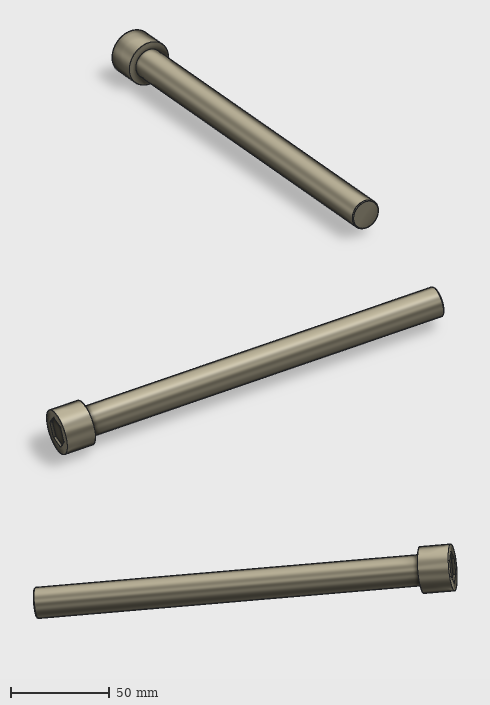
import cadquery as cq

total_length = 216.0
head_diameter = 24.0
shank_diameter = 16.0
head_height = shank_diameter
tip_chamfer = 0.5
socket_across_flats = 14.0
socket_depth = 1.5

HEXAGON_SIDES = 6
FLAT_TO_CORNER = 3 ** 0.5 / 2


def make_head():
    return cq.Workplane("YZ").circle(head_diameter / 2).extrude(head_height)


def make_shank():
    shank = cq.Workplane("YZ").circle(shank_diameter / 2).extrude(total_length)
    return shank.faces(">X").chamfer(tip_chamfer)


def make_socket():
    across_corners = socket_across_flats / FLAT_TO_CORNER
    return cq.Workplane("YZ").polygon(HEXAGON_SIDES, across_corners).extrude(socket_depth)


result = make_head().union(make_shank()).cut(make_socket())